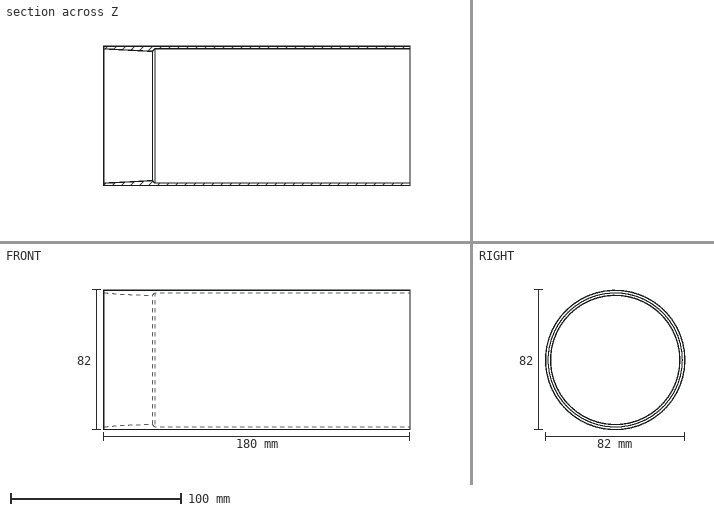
import cadquery as cq
import math

length = 180.0
outer_diameter = 82.0
wall = 1.6
lip_height = 1.5
lead_in_angle = 3.0
back_slope_angle = 45.0

outer_radius = outer_diameter / 2
bore_radius = outer_radius - wall
lip_radius = bore_radius - lip_height
start_x = -length / 2
end_x = length / 2
lip_x = start_x + lip_height / math.tan(math.radians(lead_in_angle))
lip_back_x = lip_x + lip_height / math.tan(math.radians(back_slope_angle))

AXIS_START = (0, 0, 0)
AXIS_END = (1, 0, 0)


def tube_with_internal_lip():
    """Revolve the wall section, drawn as (axial position, radius), about the X axis."""
    wall_section = (
        cq.Workplane("XY")
        .moveTo(start_x, bore_radius)
        .lineTo(lip_x, lip_radius)
        .lineTo(lip_back_x, bore_radius)
        .lineTo(end_x, bore_radius)
        .lineTo(end_x, outer_radius)
        .lineTo(start_x, outer_radius)
        .close()
    )
    return wall_section.revolve(360, AXIS_START, AXIS_END)


result = tube_with_internal_lip()